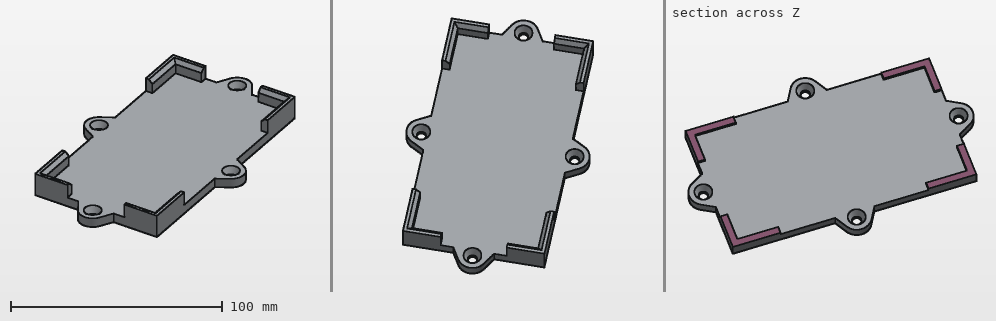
import cadquery as cq
import math

plate_width = 68.2
plate_length = 122.1
plate_thickness = 5.0

ear_radius = 7.1
ear_hole_offset = 2.8
flank_angle = math.radians(60)
hole_diameter = 4.5
countersink_diameter = 8.5
countersink_depth = 3.4

wall_height = 7.1
wall_thickness = 3.7
wall_top_width = 1.7
wall_length_x = 18.2
wall_length_y = 24.1

wall_top = plate_thickness + wall_height
inner_width = plate_width - 2 * wall_thickness
inner_length = plate_length - 2 * wall_thickness
bevel_width = wall_thickness - wall_top_width
bevel_height = bevel_width


def centred_box(width, length, height, bottom):
    return cq.Workplane("XY").workplane(offset=bottom).rect(width, length).extrude(height)


def make_walls():
    """Bevelled rim around the plate, cut away between the corners."""
    rim = centred_box(plate_width, plate_length, wall_top, 0)
    rim = rim.cut(centred_box(inner_width, inner_length, wall_height, plate_thickness))
    bevel_bottom = cq.Workplane("XY").workplane(offset=wall_top - bevel_height)
    bevel = (
        bevel_bottom.rect(inner_width, inner_length)
        .workplane(offset=bevel_height)
        .rect(inner_width + 2 * bevel_width, inner_length + 2 * bevel_width)
        .loft(ruled=True)
    )
    gap_x = plate_width - 2 * wall_length_x
    gap_y = plate_length - 2 * wall_length_y
    rim = rim.cut(bevel)
    rim = rim.cut(centred_box(gap_x, plate_length, wall_height, plate_thickness))
    return rim.cut(centred_box(plate_width, gap_y, wall_height, plate_thickness))


def make_ear(edge_distance):
    """Ear on the +X side, with its foot on the plate edge."""
    hole_x = edge_distance + ear_hole_offset
    tangent_x = hole_x + ear_radius * math.cos(flank_angle)
    tangent_y = ear_radius * math.sin(flank_angle)
    foot_y = tangent_y + (tangent_x - edge_distance) / math.tan(flank_angle)
    return (
        cq.Workplane("XY")
        .moveTo(0, -foot_y)
        .lineTo(edge_distance, -foot_y)
        .lineTo(tangent_x, -tangent_y)
        .threePointArc((hole_x + ear_radius, 0), (tangent_x, tangent_y))
        .lineTo(edge_distance, foot_y)
        .lineTo(0, foot_y)
        .close()
        .extrude(plate_thickness)
    )


def make_hole(edge_distance):
    """Countersunk through hole for the ear on the +X side."""
    hole_radius = hole_diameter / 2
    countersink_radius = countersink_diameter / 2
    profile = [
        (0, 0),
        (hole_radius, 0),
        (hole_radius, plate_thickness - countersink_depth),
        (countersink_radius, plate_thickness),
        (0, plate_thickness),
    ]
    hole = cq.Workplane("XZ").polyline(profile).close().revolve(360, (0, 0), (0, 1))
    return hole.translate((edge_distance + ear_hole_offset, 0, 0))


result = make_walls()
ear_sides = [
    (0, plate_width / 2),
    (90, plate_length / 2),
    (180, plate_width / 2),
    (270, plate_length / 2),
]
for angle, edge_distance in ear_sides:
    ear = make_ear(edge_distance).rotate((0, 0, 0), (0, 0, 1), angle)
    hole = make_hole(edge_distance).rotate((0, 0, 0), (0, 0, 1), angle)
    result = result.union(ear).cut(hole)
result = result.clean()